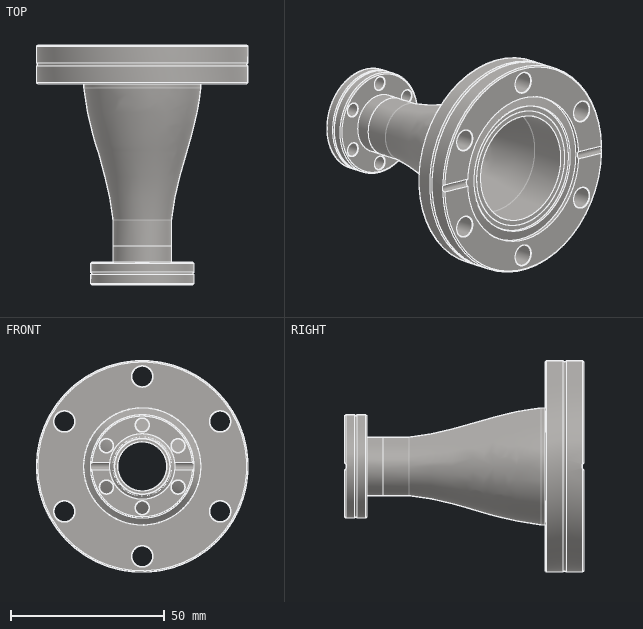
import cadquery as cq

LENGTH = 78.3
BOLT_COUNT = 6

LARGE_OD = 69.1
LARGE_THICKNESS = 12.8
LARGE_BOLT_CIRCLE = 58.7
LARGE_BOLT_HOLE = 6.7
LARGE_GROOVE_WIDTH = 1.1
LARGE_SEAT_OD = 48.3
LARGE_KNIFE_OD = 41.9

SMALL_OD = 33.8
SMALL_THICKNESS = 7.4
SMALL_BOLT_CIRCLE = 27.0
SMALL_BOLT_HOLE = 4.4
SMALL_GROOVE_WIDTH = 0.8
SMALL_SEAT_OD = 21.4
SMALL_KNIFE_OD = 18.3

RIM_CHAMFER = 0.5
BOLT_HOLE_CHAMFER = 0.15
RIM_GROOVE_DEPTH = 0.3
SEAT_DEPTH = 1.4
KNIFE_CREST_DEPTH = 0.55
KNIFE_INNER_TAPER = 0.15
SEAT_FLOOR_DEPTH = 1.25
LEAK_GROOVE_WIDTH = 2.4
LEAK_GROOVE_DEPTH = 0.7

TUBE_OD = 19.2
TUBE_BORE = 16.0
REDUCER_LARGE_OD = 38.3
REDUCER_LARGE_BORE = 34.9
TUBE_EXPOSED = 5.2
REDUCER_NECK = 8.5
REDUCER_LIP = 1.3
CONE_END_SLOPE = 0.1

TUBE_START = SEAT_FLOOR_DEPTH
REDUCER_START = SMALL_THICKNESS + TUBE_EXPOSED
CONE_START = REDUCER_START + REDUCER_NECK
CONE_END = LENGTH - LARGE_THICKNESS - REDUCER_LIP
REDUCER_END = LENGTH - SEAT_FLOOR_DEPTH


def along_y(profile):
    """Turn a profile drawn as (radius, Y) about the Y axis."""
    return profile.close().revolve(360, (0, 0, 0), (0, 1, 0))


def rod(diameter, start, length):
    """Cylinder on the Y axis from Y = start to Y = start + length."""
    return cq.Workplane("XZ", origin=(0, start, 0)).circle(diameter / 2).extrude(-length)


def rim_groove(outer_diameter, middle, width):
    """Shallow round-bottomed groove around the rim, to be cut away."""
    rim = outer_diameter / 2
    clear = rim + RIM_GROOVE_DEPTH
    profile = (
        cq.Workplane("XY")
        .moveTo(clear, middle - width / 2)
        .lineTo(rim, middle - width / 2)
        .threePointArc((rim - RIM_GROOVE_DEPTH, middle), (rim, middle + width / 2))
        .lineTo(clear, middle + width / 2)
    )
    return along_y(profile)


def bolt_holes(hole, bolt_circle, thickness):
    """Ring of through holes, chamfered at both faces, to be cut away."""
    radius = hole / 2
    mouth = radius + BOLT_HOLE_CHAMFER
    cutter = along_y(
        cq.Workplane("XY")
        .moveTo(0, 0)
        .lineTo(mouth, 0)
        .lineTo(radius, BOLT_HOLE_CHAMFER)
        .lineTo(radius, thickness - BOLT_HOLE_CHAMFER)
        .lineTo(mouth, thickness)
        .lineTo(0, thickness)
    )
    first_hole = cutter.translate((0, 0, bolt_circle / 2))
    holes = cq.Workplane("XY")
    for i in range(BOLT_COUNT):
        holes = holes.add(first_hole.rotate((0, 0, 0), (0, 1, 0), i * 360 / BOLT_COUNT))
    return holes.combine()


def gasket_seat(seat_od, knife_od):
    """Recess with a knife edge in the flange face at Y = 0, to be cut away."""
    profile = (
        cq.Workplane("XY")
        .moveTo(0, 0)
        .lineTo(seat_od / 2, 0)
        .lineTo(seat_od / 2, SEAT_DEPTH)
        .lineTo(knife_od / 2, KNIFE_CREST_DEPTH)
        .lineTo(knife_od / 2 - KNIFE_INNER_TAPER, SEAT_FLOOR_DEPTH)
        .lineTo(0, SEAT_FLOOR_DEPTH)
    )
    return along_y(profile)


def leak_groove(outer_diameter):
    """Round-bottomed channel along X across the face at Y = 0, to be cut away."""
    half = LEAK_GROOVE_WIDTH / 2
    return (
        cq.Workplane("YZ", origin=(-outer_diameter / 2, 0, 0))
        .moveTo(0, -half)
        .threePointArc((LEAK_GROOVE_DEPTH, 0), (0, half))
        .close()
        .extrude(outer_diameter)
    )


def knife_edge_flange(outer, thickness, socket, bolt_circle, bolt_hole, groove_width, seat_od, knife_od):
    """Flange with its sealing face at Y = 0, and a socket from its seat floor to its back at Y = thickness."""
    flange = rod(outer, 0, thickness).edges().chamfer(RIM_CHAMFER)
    flange = flange.cut(rod(socket, SEAT_FLOOR_DEPTH, thickness - SEAT_FLOOR_DEPTH))
    flange = flange.cut(rim_groove(outer, thickness / 2, groove_width))
    flange = flange.cut(bolt_holes(bolt_hole, bolt_circle, thickness))

    channels = leak_groove(outer).cut(rod(seat_od, 0, thickness))
    flange = flange.cut(channels)
    return flange.cut(gasket_seat(seat_od, knife_od))


def make_small_flange():
    return knife_edge_flange(
        SMALL_OD, SMALL_THICKNESS, TUBE_OD, SMALL_BOLT_CIRCLE, SMALL_BOLT_HOLE,
        SMALL_GROOVE_WIDTH, SMALL_SEAT_OD, SMALL_KNIFE_OD,
    )


def make_large_flange():
    flange = knife_edge_flange(
        LARGE_OD, LARGE_THICKNESS, REDUCER_LARGE_OD, LARGE_BOLT_CIRCLE, LARGE_BOLT_HOLE,
        LARGE_GROOVE_WIDTH, LARGE_SEAT_OD, LARGE_KNIFE_OD,
    )
    return flange.rotate((0, 0, 0), (0, 0, 1), 180).translate((0, LENGTH, 0))


def make_tube():
    length = REDUCER_START - TUBE_START
    return rod(TUBE_OD, TUBE_START, length).cut(rod(TUBE_BORE, TUBE_START, length))


def reducer_body(small_diameter, large_diameter):
    """Solid of revolution with two straight ends joined by an S-shaped cone."""
    small = small_diameter / 2
    large = large_diameter / 2
    end_direction = (CONE_END_SLOPE, 1)
    profile = (
        cq.Workplane("XY")
        .moveTo(0, REDUCER_START)
        .lineTo(small, REDUCER_START)
        .lineTo(small, CONE_START)
        .spline([(large, CONE_END)], tangents=[end_direction, end_direction], includeCurrent=True)
        .lineTo(large, REDUCER_END)
        .lineTo(0, REDUCER_END)
    )
    return along_y(profile)


def make_reducer():
    return reducer_body(TUBE_OD, REDUCER_LARGE_OD).cut(reducer_body(TUBE_BORE, REDUCER_LARGE_BORE))


small_flange = make_small_flange()
tube = make_tube()
reducer = make_reducer()
large_flange = make_large_flange()

result = cq.Compound.makeCompound([
    small_flange.val(),
    tube.val(),
    reducer.val(),
    large_flange.val(),
])